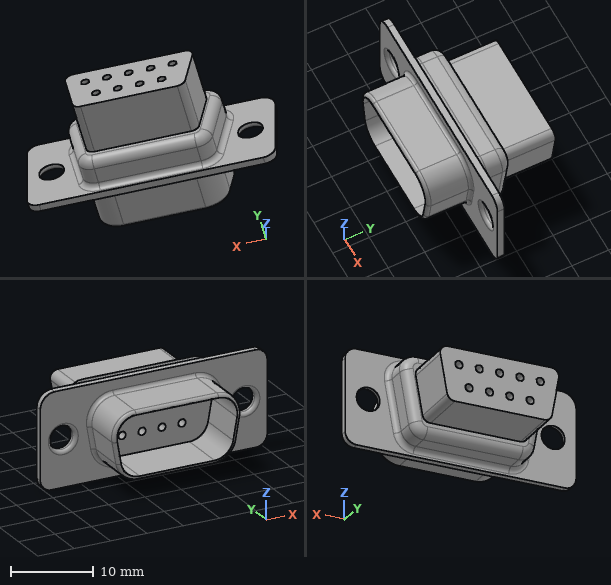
import cadquery as cq
import math

PLATE_WIDTH = 31.2
PLATE_HEIGHT = 12.95
PLATE_THICKNESS = 0.97
PLATE_CORNER_RADIUS = 1.53
PLATE_KEY_CORNER_RADIUS = 2.0

MOUNT_HOLE_SPACING = 24.95
MOUNT_HOLE_DIAMETER = 3.12
MOUNT_HOLE_ROUND = 0.5

SIDE_ANGLE = math.radians(10)

SHELL_DEPTH = 6.08
SHELL_HALF_WIDTH = 8.8
SHELL_HALF_HEIGHT = 4.62
SHELL_CORNER_RADIUS = 3.12
SHELL_WALL = 0.53
SHELL_RIM_ROUND = 0.5
SHELL_FLARE = 0.5
CAVITY_DEPTH = 6.55

REAR_DEPTH = 4.02
REAR_HALF_WIDTH = 9.65
REAR_HALF_HEIGHT = 5.4
REAR_CORNER_RADIUS = 2.0
REAR_EDGE_ROUND = 1.25
REAR_FLARE = 0.72

OVERALL_DEPTH = 17.95
INSERT_HALF_WIDTH = 8.02
INSERT_HALF_HEIGHT = 3.62
INSERT_CORNER_RADIUS = 1.03

CONTACT_DIAMETER = 1.0
CONTACT_PITCH = 2.75
CONTACT_ROW_SPACING = 2.85
UPPER_CONTACTS = 5
LOWER_CONTACTS = 4

PICK_MARGIN = 0.15

REAR_FACE_Y = PLATE_THICKNESS + REAR_DEPTH
BACK_Y = OVERALL_DEPTH - SHELL_DEPTH


def plane_at(y):
    """XZ workplane at the given Y; negative extrusions run toward +Y."""
    return cq.Workplane("XZ", origin=(0, y, 0))


def d_block(half_width, half_height, radius, y_front, y_back):
    """D-shaped prism, wide side up, with all four corners rounded."""
    top_center_x = half_width - radius
    top_center_z = half_height - radius
    side_distance = (
        top_center_x * math.cos(SIDE_ANGLE) - top_center_z * math.sin(SIDE_ANGLE) + radius
    )
    axis_x = side_distance / math.cos(SIDE_ANGLE)
    lean = half_height * math.tan(SIDE_ANGLE)
    corners = [
        (axis_x + lean, half_height),
        (-axis_x - lean, half_height),
        (-axis_x + lean, -half_height),
        (axis_x - lean, -half_height),
    ]
    prism = plane_at(y_front).polyline(corners).close().extrude(y_front - y_back)
    return prism.edges("|Y").fillet(radius)


def make_plate():
    """Flange plate with one corner rounded more than the other three."""
    plate = plane_at(0).rect(PLATE_WIDTH, PLATE_HEIGHT).extrude(-PLATE_THICKNESS)
    plate = plate.faces("<X").edges("|Y").edges(">Z").fillet(PLATE_KEY_CORNER_RADIUS)
    plate = plate.faces("<X").edges("|Y").edges("<Z").fillet(PLATE_CORNER_RADIUS)
    return plate.faces(">X").edges("|Y").fillet(PLATE_CORNER_RADIUS)


def edges_near(x, y, half_width, half_height):
    """Selects the edges lying on the plane at y inside a rectangle centered on (x, 0)."""
    reach_x = half_width + PICK_MARGIN
    reach_z = half_height + PICK_MARGIN
    return cq.selectors.BoxSelector(
        (x - reach_x, y - PICK_MARGIN, -reach_z),
        (x + reach_x, y + PICK_MARGIN, reach_z),
    )


def add_front_shell(body):
    """Outer form of the plug shell, with a rounded rim and a flare at the plate."""
    shell = d_block(SHELL_HALF_WIDTH, SHELL_HALF_HEIGHT, SHELL_CORNER_RADIUS, -SHELL_DEPTH, 0)
    shell = shell.faces("<Y").edges().fillet(SHELL_RIM_ROUND)
    joint = edges_near(0, 0, SHELL_HALF_WIDTH, SHELL_HALF_HEIGHT)
    return body.union(shell).edges(joint).fillet(SHELL_FLARE)


def add_rear_shell(body):
    """Rear shell, with a rounded back edge and a flare at the plate."""
    shell = d_block(
        REAR_HALF_WIDTH, REAR_HALF_HEIGHT, REAR_CORNER_RADIUS, PLATE_THICKNESS, REAR_FACE_Y
    )
    shell = shell.faces(">Y").edges().fillet(REAR_EDGE_ROUND)
    joint = edges_near(0, PLATE_THICKNESS, REAR_HALF_WIDTH, REAR_HALF_HEIGHT)
    return body.union(shell).edges(joint).fillet(REAR_FLARE)


def make_insert():
    return d_block(
        INSERT_HALF_WIDTH, INSERT_HALF_HEIGHT, INSERT_CORNER_RADIUS, REAR_FACE_Y, BACK_Y
    )


def make_cavity():
    """Hollow of the plug shell, leaving an even wall."""
    return d_block(
        SHELL_HALF_WIDTH - SHELL_WALL,
        SHELL_HALF_HEIGHT - SHELL_WALL,
        SHELL_CORNER_RADIUS - SHELL_WALL,
        -SHELL_DEPTH,
        CAVITY_DEPTH - SHELL_DEPTH,
    )


def make_drills(points, diameter):
    """Cylinders along Y through the full depth of the part."""
    return plane_at(-SHELL_DEPTH).pushPoints(points).circle(diameter / 2).extrude(-OVERALL_DEPTH)


def contact_row(count, z):
    """Centers of evenly pitched contacts, symmetric about X = 0."""
    return [((i - (count - 1) / 2) * CONTACT_PITCH, z) for i in range(count)]


def cut_mount_hole(body, x):
    """Through hole in the plate with a rounded front rim."""
    radius = MOUNT_HOLE_DIAMETER / 2
    body = body.cut(make_drills([(x, 0)], MOUNT_HOLE_DIAMETER))
    return body.edges(edges_near(x, 0, radius, radius)).fillet(MOUNT_HOLE_ROUND)


body = make_plate()
body = add_front_shell(body)
body = add_rear_shell(body)
body = body.union(make_insert())
body = body.cut(make_cavity())

contacts = contact_row(UPPER_CONTACTS, CONTACT_ROW_SPACING / 2)
contacts += contact_row(LOWER_CONTACTS, -CONTACT_ROW_SPACING / 2)
body = body.cut(make_drills(contacts, CONTACT_DIAMETER))

for mount_x in (-MOUNT_HOLE_SPACING / 2, MOUNT_HOLE_SPACING / 2):
    body = cut_mount_hole(body, mount_x)

result = body